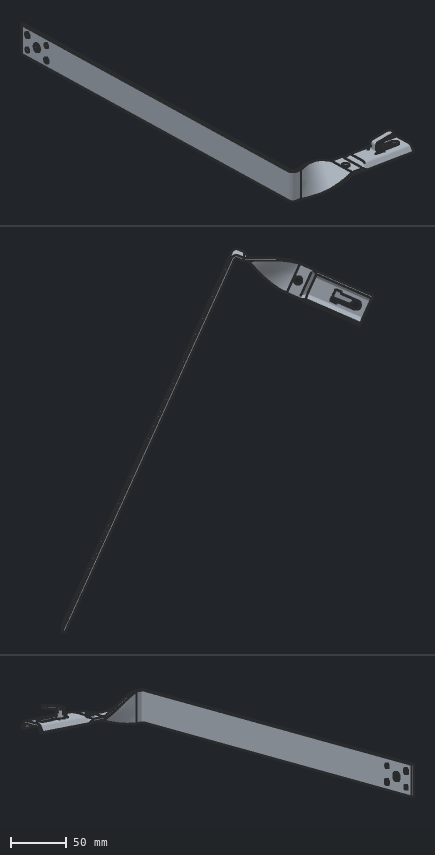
import cadquery as cq
import math

STRIP_WIDTH = 30.0
THICKNESS = 3.0
TOTAL_LENGTH = 394.0
TOTAL_DEPTH = 132.0

ARM_X = TOTAL_LENGTH - math.hypot(STRIP_WIDTH, THICKNESS) / 2

ARM_END_Y = 10.2
BEND_OUTER_RADIUS = 4.7
BEND_INNER_RADIUS = BEND_OUTER_RADIUS - THICKNESS
MOUNT_HOLE_X = 21.3
MOUNT_HOLE_DIAMETER = 8.3
SMALL_HOLE_OFFSET_X = 13.5
SMALL_HOLE_OFFSET_Z = 7.5
SMALL_HOLE_DIAMETERS = (4.5, 5.5)

TWIST_END_Y = 59.5
TWIST_ANGLE = -90.0

TAB_END_Y = 72.0
CHANNEL_START_Y = 77.2
TAB_HOLE_Y = 64.2
TAB_HOLE_DIAMETER = 7.0
CHANNEL_TOP_Z = 4.7
CHANNEL_FLAT_HALF_WIDTH = 8.0
CHANNEL_BEND_RADIUS = 4.7
FLANK_ANGLE = math.radians(55)

SLOT_WIDTH = 8.3
SLOT_END_Y = 125.5
ROOT_WIDTH = 11.5
ROOT_Y = 94.0
ROOT_SLOT_END_Y = 105.0
ROOT_TOP_Z = 8.0
TONGUE_THICKNESS = 2.5
UPRIGHT_Y = 96.5
KNEE_TOP_Z = 14.0
KNEE_RADIUS = 3.0
FOOT_RADIUS = 2.0
TONGUE_TIP_Y = 119.0
TONGUE_TOP_Z = 18.0


def hole_plug(x, z, diameter):
    """Cylinder through the thickness of the strap's long leg."""
    return cq.Workplane("XZ").center(x, z).circle(diameter / 2).extrude(-THICKNESS)


def make_strap():
    """Straight leg with one right-angle bend and the mounting hole pattern."""
    outer_x = ARM_X + THICKNESS / 2
    inner_x = ARM_X - THICKNESS / 2
    strap = (
        cq.Workplane("XY")
        .polyline([
            (0, 0),
            (outer_x, 0),
            (outer_x, ARM_END_Y),
            (inner_x, ARM_END_Y),
            (inner_x, THICKNESS),
            (0, THICKNESS),
        ])
        .close()
        .extrude(STRIP_WIDTH / 2, both=True)
    )
    outer_corner = cq.selectors.NearestToPointSelector((outer_x, 0, 0))
    strap = strap.edges(outer_corner).fillet(BEND_OUTER_RADIUS)
    inner_corner = cq.selectors.NearestToPointSelector((inner_x, THICKNESS, 0))
    strap = strap.edges(inner_corner).fillet(BEND_INNER_RADIUS)

    mount_hole = hole_plug(MOUNT_HOLE_X, 0, MOUNT_HOLE_DIAMETER)
    strap = strap.cut(mount_hole)
    for x_side in (-1, 1):
        for z_side in (-1, 1):
            diameter = SMALL_HOLE_DIAMETERS[0 if x_side == z_side else 1]
            hole_x = MOUNT_HOLE_X + x_side * SMALL_HOLE_OFFSET_X
            strap = strap.cut(hole_plug(hole_x, z_side * SMALL_HOLE_OFFSET_Z, diameter))
    return strap


def make_twist():
    """Strip turning from upright at the strap arm to flat at the clip tab."""
    section_plane = cq.Plane(origin=(ARM_X, ARM_END_Y, 0), xDir=(1, 0, 0), normal=(0, 1, 0))
    return (
        cq.Workplane(section_plane)
        .rect(THICKNESS, STRIP_WIDTH)
        .twistExtrude(TWIST_END_Y - ARM_END_Y, TWIST_ANGLE)
    )


def section_workplane(y):
    """Plane across the clip at y: local x is X from the clip axis, local y is Z."""
    return cq.Workplane(cq.Plane(origin=(ARM_X, y, 0), xDir=(1, 0, 0), normal=(0, -1, 0)))


def channel_half_points():
    """Points down the right half of the channel: outer face first, then inner face back up."""
    bend_z = CHANNEL_TOP_Z - CHANNEL_BEND_RADIUS
    inner_radius = CHANNEL_BEND_RADIUS - THICKNESS

    def bend_point(radius, angle):
        return CHANNEL_FLAT_HALF_WIDTH + radius * math.sin(angle), bend_z + radius * math.cos(angle)

    outer = [bend_point(CHANNEL_BEND_RADIUS, FLANK_ANGLE * step / 2) for step in range(3)]
    inner = [bend_point(inner_radius, FLANK_ANGLE * step / 2) for step in (2, 1, 0)]
    flank_run = STRIP_WIDTH / 2 - outer[-1][0]
    flank_drop = flank_run * math.tan(FLANK_ANGLE)
    outer_foot = (outer[-1][0] + flank_run, outer[-1][1] - flank_drop)
    inner_foot = (inner[0][0] + flank_run, inner[0][1] - flank_drop)
    return outer + [outer_foot, inner_foot] + inner


def mirrored(point):
    return -point[0], point[1]


def draw_channel_section(workplane):
    """Closed outline of the channel, starting at the right end of its flat top."""
    right = channel_half_points()
    left = [mirrored(point) for point in reversed(right)]
    return (
        workplane.moveTo(*right[0])
        .threePointArc(right[1], right[2])
        .lineTo(*right[3])
        .lineTo(*right[4])
        .lineTo(*right[5])
        .threePointArc(right[6], right[7])
        .lineTo(*left[0])
        .threePointArc(left[1], left[2])
        .lineTo(*left[3])
        .lineTo(*left[4])
        .lineTo(*left[5])
        .threePointArc(left[6], left[7])
        .close()
    )


def draw_tab_section(workplane):
    """Flat strip outline, split at the places that become the channel bends."""
    half_thickness = THICKNESS / 2
    breaks = [CHANNEL_FLAT_HALF_WIDTH, channel_half_points()[2][0], STRIP_WIDTH / 2]
    right = [(x, half_thickness) for x in breaks] + [(x, -half_thickness) for x in reversed(breaks)]
    left = [mirrored(point) for point in reversed(right)]
    return workplane.polyline(right + left).close()


def make_clip_sheet():
    """Tab, ramp and channel without openings."""
    tab = draw_tab_section(section_workplane(TWIST_END_Y)).extrude(TWIST_END_Y - TAB_END_Y)
    channel = draw_channel_section(section_workplane(CHANNEL_START_Y)).extrude(
        CHANNEL_START_Y - TOTAL_DEPTH
    )
    tab_wire = draw_tab_section(section_workplane(TAB_END_Y)).val()
    channel_wire = draw_channel_section(section_workplane(CHANNEL_START_Y)).val()
    ramp = cq.Workplane(cq.Solid.makeLoft([tab_wire, channel_wire], True))
    return tab.union(ramp).union(channel)


def tongue_blank(tip_y):
    """Round-ended upright prism in the plan shape of the tongue."""
    half_width = SLOT_WIDTH / 2
    shoulder_y = tip_y - half_width
    return (
        cq.Workplane("XY")
        .center(ARM_X, 0)
        .moveTo(-half_width, ROOT_Y)
        .lineTo(half_width, ROOT_Y)
        .lineTo(half_width, shoulder_y)
        .threePointArc((0, tip_y), (-half_width, shoulder_y))
        .close()
        .extrude(2 * TONGUE_TOP_Z, both=True)
    )


def root_block(end_y, top_z):
    """Block as wide as the tongue root, from the root line to end_y and up to top_z."""
    return cq.Workplane("XY").box(
        ROOT_WIDTH, end_y - ROOT_Y, 2 * top_z, centered=(True, False, True)
    ).translate((ARM_X, ROOT_Y, 0))


def make_tongue():
    """Upright from the channel top, bent over into a gently rising finger."""
    run = TONGUE_TIP_Y - UPRIGHT_Y
    slope = math.atan2(TONGUE_TOP_Z - KNEE_TOP_Z, run)
    inner_y = UPRIGHT_Y + TONGUE_THICKNESS
    finger_drop = TONGUE_THICKNESS / math.cos(slope)
    knee_inner_z = KNEE_TOP_Z + TONGUE_THICKNESS * math.tan(slope) - finger_drop
    root_z = CHANNEL_TOP_Z - THICKNESS
    strip = (
        cq.Workplane("YZ", origin=(ARM_X, 0, 0))
        .polyline([
            (ROOT_Y, root_z),
            (inner_y, root_z),
            (inner_y, knee_inner_z),
            (TONGUE_TIP_Y, TONGUE_TOP_Z - finger_drop),
            (TONGUE_TIP_Y, TONGUE_TOP_Z),
            (UPRIGHT_Y, KNEE_TOP_Z),
            (UPRIGHT_Y, CHANNEL_TOP_Z),
            (ROOT_Y, CHANNEL_TOP_Z),
        ])
        .close()
        .extrude(ROOT_WIDTH / 2, both=True)
    )
    knee = cq.selectors.NearestToPointSelector((ARM_X, UPRIGHT_Y, KNEE_TOP_Z))
    strip = strip.edges(knee).fillet(KNEE_RADIUS)
    foot = cq.selectors.NearestToPointSelector((ARM_X, UPRIGHT_Y, CHANNEL_TOP_Z))
    strip = strip.edges(foot).fillet(FOOT_RADIUS)
    plan_limit = tongue_blank(TONGUE_TIP_Y).union(root_block(ROOT_SLOT_END_Y, ROOT_TOP_Z))
    return strip.intersect(plan_limit)


def make_clip():
    """Clip sheet with its tab hole, its slot and the tongue standing at the slot end."""
    tab_hole = (
        cq.Workplane("XY")
        .center(ARM_X, TAB_HOLE_Y)
        .circle(TAB_HOLE_DIAMETER / 2)
        .extrude(THICKNESS, both=True)
    )
    slot = tongue_blank(SLOT_END_Y).union(root_block(ROOT_SLOT_END_Y, ROOT_TOP_Z))
    return make_clip_sheet().cut(tab_hole).cut(slot).union(make_tongue())


strap = make_strap()
twist = make_twist()
clip = make_clip()

result = cq.Compound.makeCompound([strap.val(), twist.val(), clip.val()])